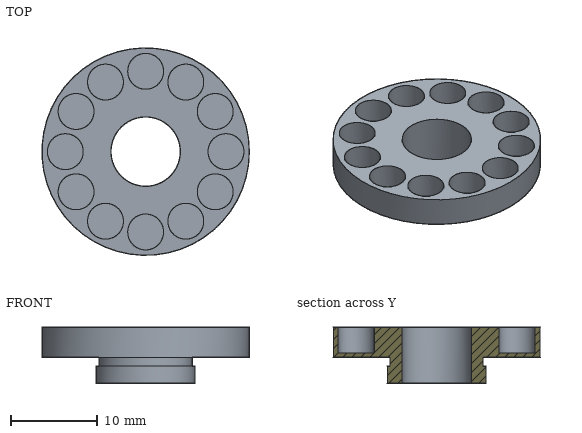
import cadquery as cq

foot_diameter = 11.45
foot_height = 2.0
neck_diameter = 10.82
neck_height = 1.0
flange_diameter = 24.0
flange_height = 3.5

bore_diameter = 8.0

pocket_count = 12
pocket_diameter = 4.15
pocket_circle_radius = 9.3
pocket_depth = 3.0

total_height = foot_height + neck_height + flange_height


def make_body():
    """Foot, narrower neck and wide flange on a common axis."""
    return (
        cq.Workplane("XY")
        .circle(foot_diameter / 2)
        .extrude(foot_height)
        .faces(">Z").workplane()
        .circle(neck_diameter / 2)
        .extrude(neck_height)
        .faces(">Z").workplane()
        .circle(flange_diameter / 2)
        .extrude(flange_height)
    )


def make_bore():
    return cq.Workplane("XY").circle(bore_diameter / 2).extrude(total_height)


def make_pockets():
    """Evenly spaced cylinders reaching down from the top face."""
    return (
        cq.Workplane("XY", origin=(0, 0, total_height))
        .polarArray(pocket_circle_radius, 0, 360, pocket_count)
        .circle(pocket_diameter / 2)
        .extrude(-pocket_depth)
    )


result = make_body().cut(make_bore()).cut(make_pockets())